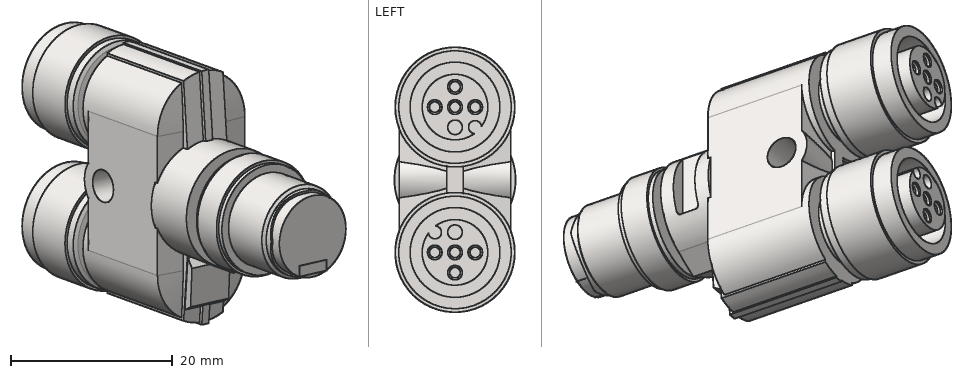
import cadquery as cq
import math

PITCH = 18.0
SOCKET_Z = PITCH / 2
NUT_R = 7.4
RING_R = 7.05
NECK_R = 4.65

BODY_START = 12.95
BODY_END = 27.8
BODY_R = 6.9
END_CAP = 0.5
END_CAP_INSET = 6.0
END_SLOPE = 5.0
STRIP_HALF_W = 3.1
STRIP_R = 7.2
STRIP_END = 28.15
RIB_HALF_W = 0.55
RIB_END = 28.6
WEB_HALF_W = 1.0
RECESS_X_MID = 13.4
RECESS_X_SIDE = 14.0
HOLE_X = 17.0
HOLE_DIA = 4.15
HOLE_BOSS_R = 3.7

BULGE_HALF_W = 3.0
BULGE_CORNERS = [(28.75, -6.9), (29.75, -8.35), (29.45, -13.4), (28.55, -13.95)]

FACE_X = 0.9
NUT_START = 3.6
NUT_END = 10.0
RING_END = 11.2
CONE_LENGTH = 0.2
CONE_MID_R = 6.5
FRONT_RING_R = 6.95
CAVITY_R = 5.55
CAVITY_END = 7.5
INSERT_R = 4.05
CONTACT_CIRCLE_R = 2.5
CONTACT_R = 0.9
BORE_R = 0.65
CONTACT_DEPTH = 4.0
COUNTERSINK = 0.25
KEYWAY_CIRCLE_R = 3.5
KEYWAY_R = 0.8

COLLAR_START = 27.35
COLLAR_END = 34.3
COLLAR_R = 7.5
COLLAR_APEX = 8.45
PLUG_RING_START = 35.75
PLUG_RING_END = 40.8
PLUG_RING_W = 0.65
BARREL_R = 6.0
BARREL_END = 47.45
LIP_R = 5.55
LIP_START = 47.75
LIP_END = 48.75
SCALLOP_DEPTH = 0.6
SCALLOPS = 4
TIP_R = 5.25
TIP_END = 50.0
TOTAL_LENGTH = 50.1
KEY_HALF_W = 2.15
KEY_TOP = -3.4
KEY_BOTTOM = -4.8

NOTCH_START = 29.3
NOTCH_END = 32.45
NOTCH_Y = 5.3
NOTCH_FLOOR = -3.65
NOTCH_CORNER_R = 0.5


def block(x0, x1, y0, y1, z0, z1):
    """Box between the given limits."""
    box = cq.Workplane("XY").box(x1 - x0, y1 - y0, z1 - z0, centered=False)
    return box.translate((x0, y0, z0))


def cylinder_x(radius, x0, x1, y=0.0, z=0.0):
    """Cylinder along X."""
    return cq.Workplane("YZ", origin=(x0, y, z)).circle(radius).extrude(x1 - x0)


def turned(profile):
    """Solid turned about the X axis from (x, radius) points."""
    return cq.Workplane("XY").polyline(profile).close().revolve(360, (0, 0, 0), (1, 0, 0))


def lobes(radius, x0, x1):
    """Rounded bar around both socket axes."""
    slot = cq.Workplane("YZ", origin=(x0, 0, 0)).slot2D(PITCH + 2 * radius, 2 * radius, 90)
    return slot.extrude(x1 - x0)


def body():
    shape = lobes(BODY_R, BODY_START, BODY_END)
    inset_r = BODY_R - END_CAP_INSET
    cap = (
        cq.Workplane("YZ", origin=(BODY_END, 0, 0))
        .slot2D(PITCH + 2 * BODY_R, 2 * BODY_R, 90)
        .workplane(offset=END_CAP)
        .slot2D(PITCH + 2 * inset_r, 2 * inset_r, 90)
        .loft(ruled=True)
    )
    return shape.union(cap).cut(front_recess())


def front_recess():
    """Two sloped pockets between the lobes, leaving the web and the column round the hole."""
    pocket = None
    for side in (1, -1):
        wedge = (
            cq.Workplane("XY", origin=(0, 0, -SOCKET_Z))
            .moveTo(BODY_START, side * WEB_HALF_W)
            .lineTo(RECESS_X_MID, side * WEB_HALF_W)
            .lineTo(RECESS_X_SIDE, side * BODY_R)
            .lineTo(BODY_START, side * BODY_R)
            .close()
            .extrude(PITCH)
        )
        pocket = wedge if pocket is None else pocket.union(wedge)
    column = cq.Workplane("XY").circle(HOLE_BOSS_R).extrude(BODY_R, both=True)
    pocket = pocket.cut(column.rotate((0, 0, 0), (1, 0, 0), 90).translate((HOLE_X, 0, 0)))
    for z in (SOCKET_Z, -SOCKET_Z):
        pocket = pocket.cut(cylinder_x(BODY_R, BODY_START, RECESS_X_SIDE, z=z))
    return pocket


def raised_strip(radius, half_width, end_x):
    """Lengthwise strip over top and bottom of the body with sloped end faces."""
    top = SOCKET_Z + radius
    root_x = end_x + top * math.tan(math.radians(END_SLOPE))
    side_outline = (
        cq.Workplane("XZ", origin=(0, half_width, 0))
        .polyline([(BODY_START, top), (end_x, top), (root_x, 0), (end_x, -top), (BODY_START, -top)])
        .close()
        .extrude(2 * half_width)
    )
    core = block(BODY_START, RECESS_X_SIDE, -half_width, half_width, -SOCKET_Z, SOCKET_Z)
    return lobes(radius, BODY_START, root_x).intersect(side_outline).cut(core)


def end_bulge():
    """Bulge on the lower part of the end face, running into the collar."""
    first_z = BULGE_CORNERS[0][1]
    last_z = BULGE_CORNERS[-1][1]
    outline = [(BODY_END, first_z)] + BULGE_CORNERS + [(BODY_END, last_z)]
    side_outline = cq.Workplane("XZ", origin=(0, BULGE_HALF_W, 0)).polyline(outline).close()
    return side_outline.extrude(2 * BULGE_HALF_W)


def socket():
    """Upper socket, built about the X axis."""
    shell = turned([
        (FACE_X, 0), (FACE_X, FRONT_RING_R), (NUT_START, FRONT_RING_R), (NUT_START, NUT_R),
        (NUT_END, NUT_R), (NUT_END, RING_R), (RING_END, RING_R), (RING_END + CONE_LENGTH, CONE_MID_R),
        (RING_END + 2 * CONE_LENGTH, NECK_R), (BODY_START, NECK_R), (BODY_START, 0),
    ])
    shell = shell.cut(cylinder_x(CAVITY_R, FACE_X, CAVITY_END))
    shape = shell.union(cylinder_x(INSERT_R, 0, CAVITY_END))

    sink = CONTACT_R - BORE_R
    contact = turned([
        (0, 0), (0, CONTACT_R), (COUNTERSINK, CONTACT_R), (COUNTERSINK + sink, BORE_R),
        (CONTACT_DEPTH, BORE_R), (CONTACT_DEPTH, 0),
    ])
    r = CONTACT_CIRCLE_R
    for y, z in [(0, 0), (r, 0), (-r, 0), (0, r)]:
        shape = shape.cut(contact.translate((0, y, z)))
    shape = shape.cut(cylinder_x(CONTACT_R, 0, CONTACT_DEPTH, z=-r))

    offset = KEYWAY_CIRCLE_R * math.sqrt(0.5)
    return shape.cut(cylinder_x(KEYWAY_R, 0, CAVITY_END, y=-offset, z=-offset))


def collar():
    """Round collar with a tangent ridge below and a notch on the +Y side."""
    tangent_z = -COLLAR_R ** 2 / COLLAR_APEX
    tangent_y = math.sqrt(COLLAR_R ** 2 - tangent_z ** 2)
    shape = (
        cq.Workplane("YZ", origin=(COLLAR_START, 0, 0))
        .moveTo(tangent_y, tangent_z)
        .threePointArc((0, COLLAR_R), (-tangent_y, tangent_z))
        .lineTo(0, -COLLAR_APEX)
        .close()
        .extrude(COLLAR_END - COLLAR_START)
    )
    notch = block(NOTCH_START, NOTCH_END, NOTCH_Y, COLLAR_R, NOTCH_FLOOR, COLLAR_R)
    return shape.cut(notch.edges("|Y and <Z").fillet(NOTCH_CORNER_R))


def scalloped_lip():
    """Short lip ahead of the tip; its end is scalloped by large radial arcs."""
    lip = cylinder_x(LIP_R, BARREL_END, LIP_END)
    half_chord = LIP_R * math.sin(math.pi / SCALLOPS)
    arc_r = (half_chord ** 2 + SCALLOP_DEPTH ** 2) / (2 * SCALLOP_DEPTH)
    cutter = cq.Workplane("XY", origin=(LIP_END - SCALLOP_DEPTH + arc_r, 0, 0)).circle(arc_r).extrude(LIP_R)
    for i in range(SCALLOPS):
        angle = (i + 0.5) * 360 / SCALLOPS
        lip = lip.cut(cutter.rotate((0, 0, 0), (1, 0, 0), angle))
    return lip


def plug():
    shape = turned([
        (COLLAR_END, 0), (COLLAR_END, NECK_R), (PLUG_RING_START, NECK_R), (PLUG_RING_START, RING_R),
        (PLUG_RING_START + PLUG_RING_W, RING_R), (PLUG_RING_START + PLUG_RING_W, NUT_R),
        (PLUG_RING_END - PLUG_RING_W, NUT_R), (PLUG_RING_END - PLUG_RING_W, RING_R),
        (PLUG_RING_END, RING_R), (PLUG_RING_END, BARREL_R), (BARREL_END, BARREL_R),
        (LIP_START, LIP_R), (LIP_START, TIP_R), (TIP_END, TIP_R), (TIP_END, 0),
    ])
    key = block(LIP_END, TOTAL_LENGTH, -KEY_HALF_W, KEY_HALF_W, KEY_BOTTOM, KEY_TOP)
    return shape.union(scalloped_lip()).union(key)


upper_socket = socket().translate((0, 0, SOCKET_Z))
lower_socket = upper_socket.rotate((0, 0, 0), (1, 0, 0), 180)
cross_hole = cq.Workplane("XZ", origin=(HOLE_X, 0, 0)).circle(HOLE_DIA / 2).extrude(BODY_R, both=True)

result = (
    body()
    .union(raised_strip(STRIP_R, STRIP_HALF_W, STRIP_END))
    .union(raised_strip(NUT_R, RIB_HALF_W, RIB_END))
    .union(end_bulge())
    .union(collar())
    .union(plug())
    .union(upper_socket)
    .union(lower_socket)
    .cut(cross_hole)
)